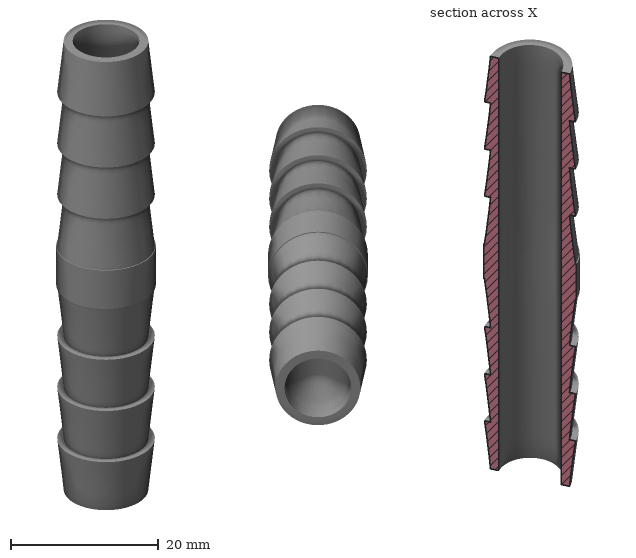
import cadquery as cq

length = 70.0
collar_diameter = 13.5
collar_length = 6.0
barb_root_diameter = 11.5
barb_crest_diameter = 13.2
bore_diameter = 9.0
barbs_per_end = 4
barb_length = (length - collar_length) / 2 / barbs_per_end


def barb(base_height):
    """Cone that narrows upward from its crest at base_height."""
    return (
        cq.Workplane("XY", origin=(0, 0, base_height))
        .circle(barb_crest_diameter / 2)
        .workplane(offset=barb_length)
        .circle(barb_root_diameter / 2)
        .loft()
    )


body = cq.Workplane("XY").circle(collar_diameter / 2).extrude(collar_length / 2, both=True)

for index in range(barbs_per_end):
    upper_barb = barb(collar_length / 2 + index * barb_length)
    body = body.union(upper_barb).union(upper_barb.mirror("XY"))

bore = cq.Workplane("XY").circle(bore_diameter / 2).extrude(length / 2, both=True)
result = body.cut(bore)